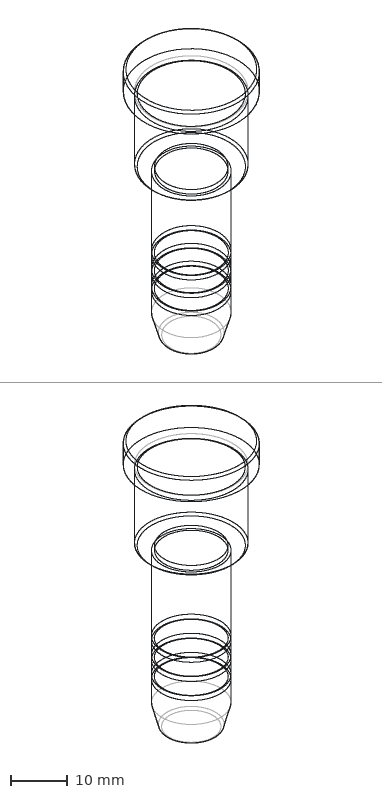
import cadquery as cq
import math

total_height = 60.0
head_radius = 12.0
head_height = 5.0
shoulder_radius = 10.0
shoulder_height = 17.0
pin_radius = 7.0

neck_radius = 6.5
neck_height = 1.0

taper_height = 5.0
taper_angle = 15.0
tip_round = 0.6

edge_chamfer = 0.5
groove_radius = 0.5
groove_count = 3
groove_pitch = 4.0
lowest_groove_z = 10.5

head_bottom = total_height - head_height
shoulder_bottom = head_bottom - shoulder_height
tip_radius = pin_radius - taper_height * math.tan(math.radians(taper_angle))


def cylinder(radius, bottom, top):
    """Solid cylinder on the Z axis between two heights."""
    return cq.Workplane("XY").workplane(offset=bottom).circle(radius).extrude(top - bottom)


def ring_groove(surface_radius, center_z):
    """Ring that cuts a half-round groove into a cylindrical surface."""
    return (
        cq.Workplane("XZ")
        .center(surface_radius, center_z)
        .circle(groove_radius)
        .revolve(360, (-surface_radius, 0), (-surface_radius, 1))
    )


head = cylinder(head_radius, head_bottom, total_height).faces(">Z").edges().chamfer(edge_chamfer)

shoulder = cylinder(shoulder_radius, shoulder_bottom, head_bottom)
shoulder = shoulder.faces("<Z").edges().chamfer(edge_chamfer)
shoulder = shoulder.cut(ring_groove(shoulder_radius, head_bottom - groove_radius))

neck_bottom = shoulder_bottom - neck_height
neck = cylinder(neck_radius, neck_bottom, shoulder_bottom)
pin = cylinder(pin_radius, taper_height, neck_bottom)
for index in range(groove_count):
    pin = pin.cut(ring_groove(pin_radius, lowest_groove_z + index * groove_pitch))

tip = (
    cq.Workplane("XY")
    .circle(tip_radius)
    .workplane(offset=taper_height)
    .circle(pin_radius)
    .loft(ruled=True)
    .faces("<Z").edges().fillet(tip_round)
)

result = head.union(shoulder).union(neck).union(pin).union(tip)